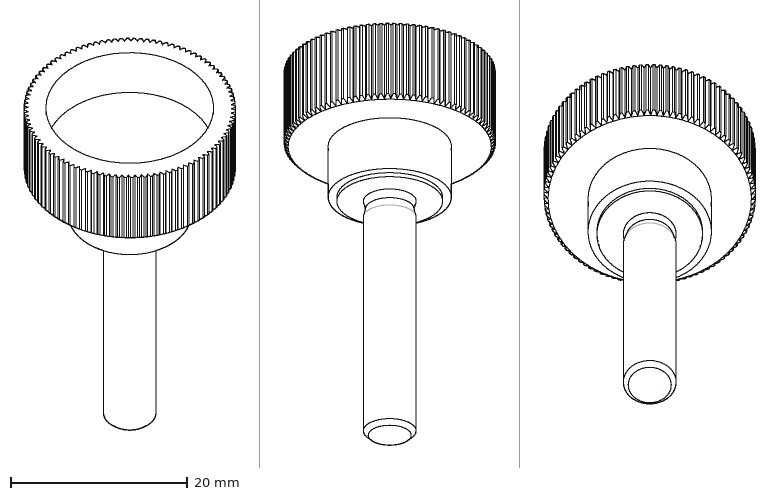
import cadquery as cq
import math

head_diameter = 24.0
head_height = 9.5
head_chamfer = 0.45
recess_diameter = 19.0
recess_depth = 6.0

groove_count = 100
groove_depth = 0.435
crest_fraction = 0.33

collar_diameter = 14.0
collar_height = 6.5
seat_diameter = 12.0
seat_height = 0.5

total_height = 46.5
stud_diameter = 6.0
stud_chamfer = 0.55
relief_diameter = 5.5
relief_upper_height = 0.98
relief_lower_height = 1.05

head_bottom = total_height - head_height
collar_bottom = head_bottom - collar_height
seat_bottom = collar_bottom - seat_height
relief_waist = seat_bottom - relief_upper_height
relief_bottom = relief_waist - relief_lower_height

head_radius = head_diameter / 2
stud_radius = stud_diameter / 2


def turned_body():
    """Solid of revolution with every step, chamfer and taper."""
    half_profile = [
        (0, 0),
        (stud_radius - stud_chamfer, 0),
        (stud_radius, stud_chamfer),
        (stud_radius, relief_bottom),
        (relief_diameter / 2, relief_waist),
        (stud_radius, seat_bottom),
        (seat_diameter / 2, seat_bottom),
        (seat_diameter / 2, collar_bottom),
        (collar_diameter / 2, collar_bottom),
        (collar_diameter / 2, head_bottom),
        (head_radius - head_chamfer, head_bottom),
        (head_radius, head_bottom + head_chamfer),
        (head_radius, total_height),
        (0, total_height),
    ]
    return cq.Workplane("XZ").polyline(half_profile).close().revolve(360, (0, 0), (0, 1))


def recess():
    """Round blind pocket in the top of the head."""
    floor = cq.Workplane("XY").workplane(offset=total_height - recess_depth)
    return floor.circle(recess_diameter / 2).extrude(recess_depth)


def polar(radius, angle):
    return (radius * math.cos(angle), radius * math.sin(angle))


def knurl_envelope():
    """Toothed prism that covers the head, with crests on the head diameter."""
    pitch = 2 * math.pi / groove_count
    half_crest = crest_fraction * pitch / 2
    outline = []
    for tooth in range(groove_count):
        middle = (tooth + 0.5) * pitch
        outline.append(polar(head_radius, middle - half_crest))
        outline.append(polar(head_radius, middle + half_crest))
        outline.append(polar(head_radius - groove_depth, middle + pitch / 2))
    base = cq.Workplane("XY").workplane(offset=head_bottom)
    return base.polyline(outline).close().extrude(head_height)


def below_head():
    """Plain cylinder that keeps the collar and stud untouched by the knurl."""
    return cq.Workplane("XY").circle(head_radius).extrude(head_bottom)


result = turned_body().intersect(knurl_envelope().union(below_head())).cut(recess())